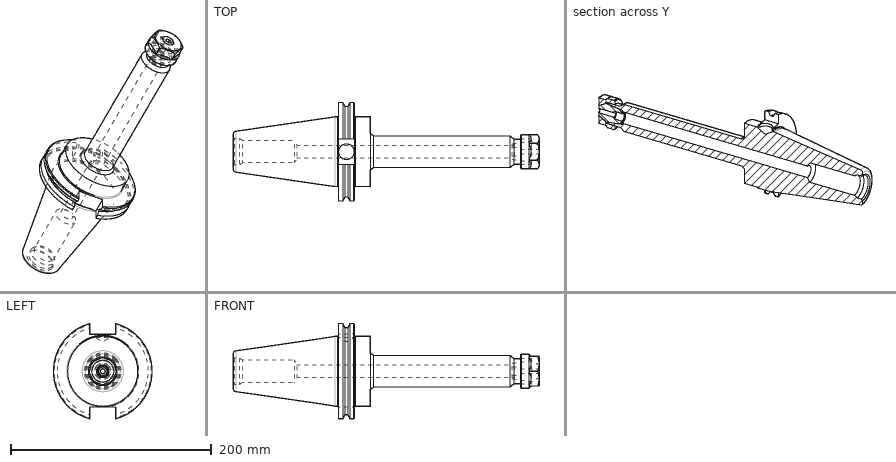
import cadquery as cq
import math

OVERALL_LENGTH = 304.8

GAUGE_DIA = 69.8
TAPER_LENGTH = 101.5
TAPER_RATIO = 7 / 24
TAPER_END_FILLET = 3.0

FLANGE_DIA = 98.5
FLANGE_START = 105.0
FLANGE_WIDTH = 16.0
FLANGE_CHAMFER = 1.0
FLANGE_ROOT_FILLET = 1.0
GROOVE_OFFSET = 8.0
GROOVE_FLOOR_DIA = 90.5
GROOVE_FLOOR_WIDTH = 2.7
GROOVE_WALL_ANGLE = 30
SLOT_WIDTH = 25.5
UPPER_SLOT_HEIGHT = 37.0
LOWER_SLOT_HEIGHT = 35.7
DIMPLE_DIA = 15.5
DIMPLE_DEPTH = 3.0
DRILL_POINT_ANGLE = 118

COLLAR_END = 136.5
SHANK_DIA = 31.7
SHANK_ROOT_LENGTH = 3.5
SHANK_ROOT_RISE = 2.5
NOSE_DIA = 25.0
NOSE_START = 279.8
NOSE_CONE_LENGTH = 4.3
NOSE_END = 297.2

MOUTH_DIA = 28.5
MOUTH_LENGTH = 1.5
COUNTERBORE_DIA = 26.2
COUNTERBORE_DEPTH = 6.5
THREAD_BORE_DIA = 22.0
THREAD_BORE_START = 9.5
THREAD_BORE_END = 61.0
COOLANT_DIA = 12.8

COLLET_DIA = 21.0
COLLET_BACK_DIA = 15.5
COLLET_TAPER_ANGLE = 8
COLLET_NOSE_ANGLE = 30
COLLET_BACK_FACE_DIA = 10.7
COLLET_BORE_DIA = 4.5
COLLET_RELIEF_DIA = 8.2
COLLET_RELIEF_LENGTH = 9.0

NUT_DIA = 34.0
NUT_START = 286.0
NUT_BACK_CHAMFER = 1.0
NUT_COLLAR_CHAMFER = 1.8
NUT_COLLAR_END = 296.3
HEX_WIDTH = 30.0
HEX_TURN = 30
HEX_END_DIA = 28.5
HEX_END_ANGLE = 30

flange_end = FLANGE_START + FLANGE_WIDTH
gauge_radius = GAUGE_DIA / 2
flange_radius = FLANGE_DIA / 2
collet_front_radius = COLLET_DIA / 2 - (OVERALL_LENGTH - NOSE_END) * math.tan(math.radians(COLLET_NOSE_ANGLE))
collet_back = NOSE_END - (COLLET_DIA - COLLET_BACK_DIA) / 2 / math.tan(math.radians(COLLET_TAPER_ANGLE))


def revolve_about_x(profile):
    """Turn a closed XY profile into a solid about the X axis."""
    return profile.close().revolve(360, (0, 0, 0), (1, 0, 0))


def turned(points):
    """Solid turned from (position along X, radius) points, closed along the axis."""
    return revolve_about_x(cq.Workplane("XY").polyline([(points[0][0], 0), *points, (points[-1][0], 0)]))


def cone_depth(diameter):
    """Height of a drill point of the given diameter."""
    return diameter / 2 / math.tan(math.radians(DRILL_POINT_ANGLE / 2))


def holder_blank():
    """Taper, flange, collar, shank and nose without any cuts."""
    small_radius = (GAUGE_DIA - TAPER_RATIO * TAPER_LENGTH) / 2
    shank_radius = SHANK_DIA / 2
    nose_radius = NOSE_DIA / 2
    taper = turned([(0, small_radius), (TAPER_LENGTH, gauge_radius)])
    taper = taper.faces("<X").edges().fillet(TAPER_END_FILLET)
    root = FLANGE_ROOT_FILLET
    profile = (
        cq.Workplane("XY")
        .moveTo(TAPER_LENGTH, 0)
        .lineTo(TAPER_LENGTH, gauge_radius)
        .lineTo(FLANGE_START - root, gauge_radius)
        .radiusArc((FLANGE_START, gauge_radius + root), -root)
        .lineTo(FLANGE_START, flange_radius)
        .lineTo(flange_end - FLANGE_CHAMFER, flange_radius)
        .lineTo(flange_end, flange_radius - FLANGE_CHAMFER)
        .lineTo(flange_end, gauge_radius + root)
        .radiusArc((flange_end + root, gauge_radius), -root)
        .lineTo(COLLAR_END, gauge_radius)
        .lineTo(COLLAR_END, shank_radius + SHANK_ROOT_RISE)
        .lineTo(COLLAR_END + SHANK_ROOT_LENGTH, shank_radius)
        .lineTo(NOSE_START - NOSE_CONE_LENGTH, shank_radius)
        .lineTo(NOSE_START, nose_radius)
        .lineTo(NOSE_END, nose_radius)
        .lineTo(NOSE_END, 0)
    )
    return taper.union(revolve_about_x(profile))


def groove_cutter():
    """V groove around the flange."""
    center = FLANGE_START + GROOVE_OFFSET
    floor_radius = GROOVE_FLOOR_DIA / 2
    floor_half = GROOVE_FLOOR_WIDTH / 2
    rim_half = floor_half + (flange_radius - floor_radius) * math.tan(math.radians(GROOVE_WALL_ANGLE))
    profile = cq.Workplane("XY").polyline([
        (center - floor_half, floor_radius),
        (center - rim_half, flange_radius),
        (center + rim_half, flange_radius),
        (center + floor_half, floor_radius),
    ])
    return revolve_about_x(profile)


def slot_cutter(floor_height):
    """Drive slot in the +Z side of the flange."""
    return cq.Workplane("XY").box(FLANGE_WIDTH, SLOT_WIDTH, flange_radius, centered=(False, True, False)).translate(
        (FLANGE_START, 0, floor_height)
    )


def dimple_cutter():
    """Drilled dimple in the floor of the upper slot."""
    radius = DIMPLE_DIA / 2
    bottom = UPPER_SLOT_HEIGHT - DIMPLE_DEPTH
    return (
        cq.Workplane("XZ")
        .polyline([
            (0, UPPER_SLOT_HEIGHT),
            (radius, UPPER_SLOT_HEIGHT),
            (radius, bottom),
            (0, bottom - cone_depth(DIMPLE_DIA)),
        ])
        .close()
        .revolve(360, (0, 0, 0), (0, 1, 0))
        .translate((FLANGE_START + GROOVE_OFFSET, 0, 0))
    )


def bore_cutter():
    """Draw-bar bore, coolant hole and tapered collet seat."""
    return turned([
        (0, MOUTH_DIA / 2),
        (MOUTH_LENGTH, COUNTERBORE_DIA / 2),
        (COUNTERBORE_DEPTH, COUNTERBORE_DIA / 2),
        (THREAD_BORE_START, THREAD_BORE_DIA / 2),
        (THREAD_BORE_END, THREAD_BORE_DIA / 2),
        (THREAD_BORE_END + cone_depth(THREAD_BORE_DIA - COOLANT_DIA), COOLANT_DIA / 2),
        (collet_back, COOLANT_DIA / 2),
        (collet_back, COLLET_BACK_DIA / 2),
        (NOSE_END, COLLET_DIA / 2),
    ])


def make_holder():
    lower_slot = slot_cutter(LOWER_SLOT_HEIGHT).mirror("XY")
    holder = holder_blank().cut(groove_cutter()).cut(bore_cutter())
    return holder.cut(slot_cutter(UPPER_SLOT_HEIGHT)).cut(lower_slot).cut(dimple_cutter())


def collet_outline():
    """Collet without its bore."""
    chamfer = (COLLET_BACK_DIA - COLLET_BACK_FACE_DIA) / 2
    taper = turned([
        (collet_back, COLLET_BACK_DIA / 2),
        (NOSE_END, COLLET_DIA / 2),
        (OVERALL_LENGTH, collet_front_radius),
    ])
    return taper.faces("<X").edges().chamfer(chamfer)


def make_collet():
    relief_end = collet_back + COLLET_RELIEF_LENGTH
    bore = turned([
        (collet_back, COLLET_RELIEF_DIA / 2),
        (relief_end, COLLET_RELIEF_DIA / 2),
        (relief_end, COLLET_BORE_DIA / 2),
        (OVERALL_LENGTH, COLLET_BORE_DIA / 2),
    ])
    return collet_outline().cut(bore)


def make_nut():
    radius = NUT_DIA / 2
    end_drop = (radius - HEX_END_DIA / 2) * math.tan(math.radians(HEX_END_ANGLE))
    collar = turned([
        (NUT_START, radius - NUT_BACK_CHAMFER),
        (NUT_START + NUT_BACK_CHAMFER, radius),
        (NUT_COLLAR_END - NUT_COLLAR_CHAMFER, radius),
        (NUT_COLLAR_END, radius - NUT_COLLAR_CHAMFER),
    ])
    hexagon = (
        cq.Workplane("YZ")
        .workplane(offset=NUT_START + NUT_BACK_CHAMFER)
        .polygon(6, HEX_WIDTH, circumscribed=True)
        .extrude(OVERALL_LENGTH - NUT_START - NUT_BACK_CHAMFER)
        .rotate((0, 0, 0), (1, 0, 0), HEX_TURN)
    )
    envelope = turned([
        (NUT_START, radius),
        (OVERALL_LENGTH - end_drop, radius),
        (OVERALL_LENGTH, HEX_END_DIA / 2),
    ])
    nose_hole = turned([(NUT_START, NOSE_DIA / 2), (NOSE_END, NOSE_DIA / 2)])
    return collar.union(hexagon.intersect(envelope)).cut(nose_hole).cut(collet_outline())


holder = make_holder()
collet = make_collet()
nut = make_nut()

result = cq.Compound.makeCompound([holder.val(), collet.val(), nut.val()])